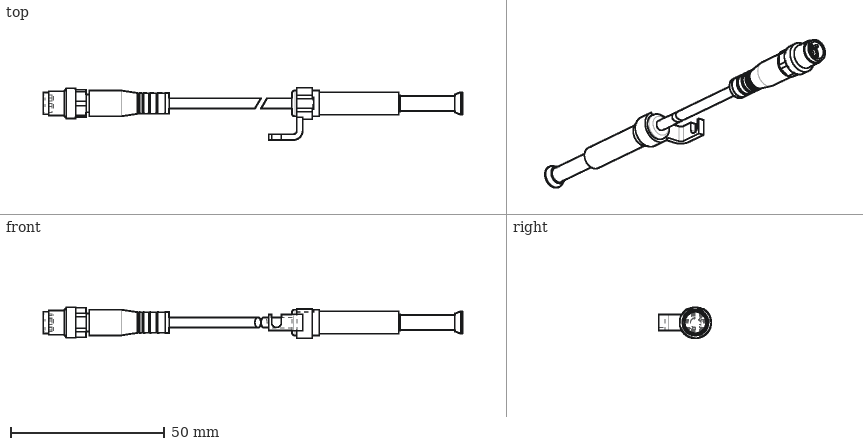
import cadquery as cq
import math


CABLE_D = 3.4
PLUG_CUT_X = 70.15
SENSOR_CUT_X = 72.1
CUT_SLANT = 2.0

NOSE_D = 7.2
NOSE_END = 1.75
THREAD_D = 8.0
THREAD_END = 6.8
RING_D = 10.0
RING_CONE_L = 0.8
RING_END = 10.6
COUPLING_END = 14.0
HEX_ACROSS_FLATS = 9.0
HEX_ROUND_D = 9.7
NECK_D = 5.9
NECK_END = 15.0

SOCKET_D = 5.78
SOCKET_STEP_X = 2.8
SOCKET_FLOOR_D = 5.0
SOCKET_FLOOR_X = 3.2
PIN_D = 1.0
PIN_TIP_X = 0.5
PIN_CENTRES = [(1.4, 1.1), (1.4, -1.1), (-0.5, 1.8), (-0.5, -1.8)]

GRIP_D = 8.5
GRIP_END = 25.5
RELIEF_START = 30.7
RELIEF_D = 6.9
RELIEF_END = 41.1
RELIEF_RIM_START = 39.8
GROOVE_D = 6.4
SHOULDER_D = 6.6
SHOULDER_W = 0.5
FIRST_GROOVE_W = 0.4
GROOVE_W = 0.5
GROOVE_STARTS = [32.4, 34.4, 36.9]
RIDGE_TAPER_DEPTH = 0.08

NUT_START = 81.2
NUT_D = 8.5
NUT_ROUND_R = 1.0
NUT_END = 90.2
SLEEVE_D = 7.45
SLEEVE_END = 116.2
SEAT_D = 5.3
SEAT_END = 116.6
TUBE_D = 5.0
TUBE_END = 134.5
HEAD_NECK_D = 5.9
HEAD_RIM_D = 7.45
HEAD_RIM_START = 136.4
HEAD_CHAMFER = 0.25
TOTAL_LENGTH = 137.05

CLIP_D = 10.4
CLIP_START = 82.8
CLIP_END = 87.9
NOTCH_END = 88.3
NOTCH_FLOOR_D = SLEEVE_D
NOTCH_FLOOR_W = 3.0
NOTCH_TOP_W = 5.4

ARM_T = 2.0
ARM_W = 5.3
ARM_TIP_X = 73.6
ARM_OUTER_Y = -12.0
BEND_R_IN = 1.0
BEND_R_OUT = 3.2
SLOT_W = 3.2
SLOT_X = 76.2


def turned(outline):
    """Solid of revolution about X; the outline lists (x, radius) from one end to the other."""
    first_x = outline[0][0]
    last_x = outline[-1][0]
    points = [(first_x, 0), *outline, (last_x, 0)]
    return cq.Workplane("XY").polyline(points).close().revolve(360, (0, 0, 0), (1, 0, 0))


def rod(diameter, start, end):
    """Cylinder on the X axis from start to end."""
    return cq.Workplane("YZ", origin=(start, 0, 0)).circle(diameter / 2).extrude(end - start)


def cable(start_shift, start_x, end_shift, end_x):
    """Cable piece whose end planes lean by the given X shift at the cable side."""
    r = CABLE_D / 2
    outline = [
        (start_x - start_shift, -r),
        (end_x - end_shift, -r),
        (end_x + end_shift, r),
        (start_x + start_shift, r),
    ]
    slab = cq.Workplane("XY").polyline(outline).close().extrude(r, both=True)
    return rod(CABLE_D, start_x - r, end_x + r).intersect(slab)


def coupling():
    """Nose, thread, knurl ring and hexagonal end of the plug."""
    body = turned([
        (0, NOSE_D / 2),
        (NOSE_END, NOSE_D / 2),
        (NOSE_END, THREAD_D / 2),
        (THREAD_END, THREAD_D / 2),
        (THREAD_END + RING_CONE_L, RING_D / 2),
        (RING_END, RING_D / 2),
    ])
    hex_corner_d = HEX_ACROSS_FLATS / math.cos(math.pi / 6)
    hexagon = (
        cq.Workplane("YZ", origin=(RING_END, 0, 0))
        .transformed(rotate=(0, 0, 30))
        .polygon(6, hex_corner_d)
        .extrude(COUPLING_END - RING_END)
    )
    rounded_hex = hexagon.intersect(rod(HEX_ROUND_D, RING_END, COUPLING_END))
    return body.union(rounded_hex)


def socket():
    mouth = rod(SOCKET_D, 0, SOCKET_STEP_X)
    return mouth.union(rod(SOCKET_FLOOR_D, SOCKET_STEP_X, SOCKET_FLOOR_X))


def pins():
    return (
        cq.Workplane("YZ", origin=(PIN_TIP_X, 0, 0))
        .pushPoints(PIN_CENTRES)
        .circle(PIN_D / 2)
        .extrude(SOCKET_FLOOR_X - PIN_TIP_X)
    )


def grip():
    """Neck, grip, taper and grooved strain relief."""
    first_groove_start = RELIEF_START + SHOULDER_W
    ridge_start = first_groove_start + FIRST_GROOVE_W
    relief_r = RELIEF_D / 2
    taper_r = relief_r - RIDGE_TAPER_DEPTH
    outline = [
        (COUPLING_END, NECK_D / 2),
        (NECK_END, NECK_D / 2),
        (NECK_END, GRIP_D / 2),
        (GRIP_END, GRIP_D / 2),
        (RELIEF_START, relief_r),
        (RELIEF_START, SHOULDER_D / 2),
        (first_groove_start, SHOULDER_D / 2),
        (first_groove_start, GROOVE_D / 2),
        (ridge_start, GROOVE_D / 2),
        (ridge_start, relief_r),
    ]
    for start in GROOVE_STARTS:
        outline += [
            (start, taper_r),
            (start, GROOVE_D / 2),
            (start + GROOVE_W, GROOVE_D / 2),
            (start + GROOVE_W, relief_r),
        ]
    outline += [
        (RELIEF_RIM_START, taper_r),
        (RELIEF_RIM_START, relief_r),
        (RELIEF_END, relief_r),
    ]
    return turned(outline)


def sensor_barrel():
    """Nut core, sleeve, tube and flared head."""
    barrel = turned([
        (NUT_START, NUT_D / 2),
        (NUT_END, NUT_D / 2),
        (NUT_END, SLEEVE_D / 2),
        (SLEEVE_END, SLEEVE_D / 2),
        (SLEEVE_END, SEAT_D / 2),
        (SEAT_END, SEAT_D / 2),
        (SEAT_END, TUBE_D / 2),
        (TUBE_END, TUBE_D / 2),
        (TUBE_END, HEAD_NECK_D / 2),
        (HEAD_RIM_START, HEAD_RIM_D / 2),
        (TOTAL_LENGTH - HEAD_CHAMFER, HEAD_RIM_D / 2),
        (TOTAL_LENGTH, HEAD_RIM_D / 2 - HEAD_CHAMFER),
    ])
    return barrel.faces("<X").edges().fillet(NUT_ROUND_R)


def notch():
    """Flared notch on top of the clip, with a floor concentric to the axis."""
    top_z = math.sqrt(CLIP_D**2 - NOTCH_TOP_W**2) / 2
    floor_z = math.sqrt(NOTCH_FLOOR_D**2 - NOTCH_FLOOR_W**2) / 2
    flare = (NOTCH_TOP_W - NOTCH_FLOOR_W) / 2 / (top_z - floor_z)
    rim_half_w = NOTCH_TOP_W / 2 + flare * (CLIP_D / 2 - top_z)
    outline = [
        (-NOTCH_FLOOR_W / 2, floor_z),
        (NOTCH_FLOOR_W / 2, floor_z),
        (rim_half_w, CLIP_D / 2),
        (-rim_half_w, CLIP_D / 2),
    ]
    wedge = (
        cq.Workplane("YZ", origin=(CLIP_START, 0, 0))
        .polyline(outline)
        .close()
        .extrude(NOTCH_END - CLIP_START)
    )
    return wedge.cut(rod(NOTCH_FLOOR_D, CLIP_START, NOTCH_END))


def arm():
    """L-shaped arm from the clip toward -Y and back along the cable."""
    leg_end = CLIP_START + ARM_T
    inner_y = ARM_OUTER_Y + ARM_T
    leg = (
        cq.Workplane("XY")
        .moveTo(CLIP_START, 0)
        .lineTo(leg_end, 0)
        .lineTo(leg_end, ARM_OUTER_Y + BEND_R_OUT)
        .radiusArc((leg_end - BEND_R_OUT, ARM_OUTER_Y), BEND_R_OUT)
        .lineTo(ARM_TIP_X, ARM_OUTER_Y)
        .lineTo(ARM_TIP_X, inner_y)
        .lineTo(CLIP_START - BEND_R_IN, inner_y)
        .radiusArc((CLIP_START, inner_y + BEND_R_IN), -BEND_R_IN)
        .close()
        .extrude(ARM_W / 2, both=True)
    )
    slot = (
        cq.Workplane("XZ", origin=(SLOT_X, inner_y, 0))
        .moveTo(-SLOT_W / 2, ARM_W / 2)
        .lineTo(-SLOT_W / 2, 0)
        .radiusArc((SLOT_W / 2, 0), -SLOT_W / 2)
        .lineTo(SLOT_W / 2, ARM_W / 2)
        .close()
        .extrude(ARM_T)
    )
    return leg.cut(slot)


plug = coupling().cut(socket()).union(pins()).union(grip())
plug = plug.union(cable(0, RELIEF_END, CUT_SLANT / 2, PLUG_CUT_X))

clip = rod(CLIP_D, CLIP_START, CLIP_END)
sensor = sensor_barrel().union(clip).union(arm()).cut(notch())
sensor = sensor.union(cable(CUT_SLANT / 2, SENSOR_CUT_X, 0, NUT_START))

result = cq.Compound.makeCompound([plug.val(), sensor.val()])